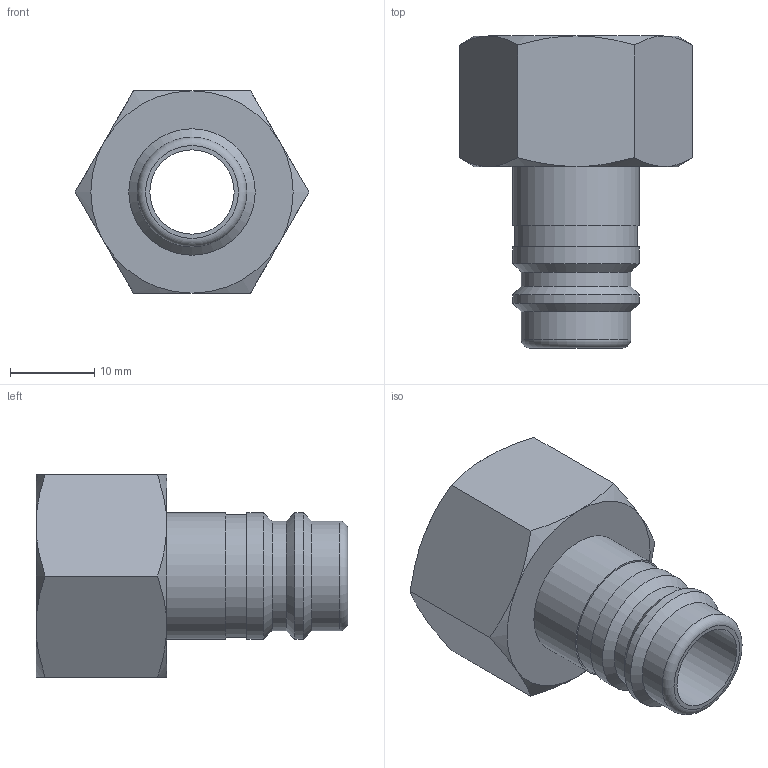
import cadquery as cq
import math

hex_sides = 6
across_flats = 24.0
head_length = 15.5
chamfer_angle = 30.0

total_length = 37.0
plug_radius = 7.5
relief_radius = 7.3
neck_radius = 6.5
bore_radius = 5.0
tip_rounding = 1.0

shank_length = 7.0
relief_length = 2.5
collar_length = 2.0
neck_length = 1.7
ring_length = 1.0
slope_length = 1.0

across_corners = across_flats / math.cos(math.pi / hex_sides)
corner_radius = across_corners / 2
flat_radius = across_flats / 2
chamfer_depth = (corner_radius - flat_radius) * math.tan(math.radians(chamfer_angle))


def revolve_about_y(half_profile):
    """Turn a closed half profile in the XY plane fully around the Y axis."""
    return half_profile.close().revolve(360, (0, 0, 0), (0, 1, 0))


def make_head():
    """Hexagonal prism from y = 0 to y = head_length with cone-chamfered corners."""
    prism = (
        cq.Workplane("XZ")
        .polygon(hex_sides, across_corners)
        .extrude(-head_length)
    )
    chamfer_envelope = revolve_about_y(
        cq.Workplane("XY")
        .moveTo(0, 0)
        .lineTo(flat_radius, 0)
        .lineTo(corner_radius, chamfer_depth)
        .lineTo(corner_radius, head_length - chamfer_depth)
        .lineTo(flat_radius, head_length)
        .lineTo(0, head_length)
    )
    return prism.intersect(chamfer_envelope)


def make_plug():
    """Stepped plug from the head face (y = 0) down to its rounded tip."""
    relief_start = -shank_length
    collar_start = relief_start - relief_length
    collar_end = collar_start - collar_length
    neck_start = collar_end - slope_length
    neck_end = neck_start - neck_length
    ring_start = neck_end - slope_length
    ring_end = ring_start - ring_length
    nose_start = ring_end - slope_length
    tip = head_length - total_length
    rounding_diagonal = tip_rounding * math.sqrt(0.5)

    return revolve_about_y(
        cq.Workplane("XY")
        .moveTo(0, 0)
        .lineTo(plug_radius, 0)
        .lineTo(plug_radius, relief_start)
        .lineTo(relief_radius, relief_start)
        .lineTo(relief_radius, collar_start)
        .lineTo(plug_radius, collar_start)
        .lineTo(plug_radius, collar_end)
        .lineTo(neck_radius, neck_start)
        .lineTo(neck_radius, neck_end)
        .lineTo(plug_radius, ring_start)
        .lineTo(plug_radius, ring_end)
        .lineTo(neck_radius, nose_start)
        .lineTo(neck_radius, tip + tip_rounding)
        .threePointArc(
            (
                neck_radius - tip_rounding + rounding_diagonal,
                tip + tip_rounding - rounding_diagonal,
            ),
            (neck_radius - tip_rounding, tip),
        )
        .lineTo(0, tip)
    )


def make_bore():
    """Cylinder for the bore, running through the whole part."""
    return (
        cq.Workplane("XZ", origin=(0, head_length, 0))
        .circle(bore_radius)
        .extrude(total_length)
    )


result = make_head().union(make_plug()).cut(make_bore())